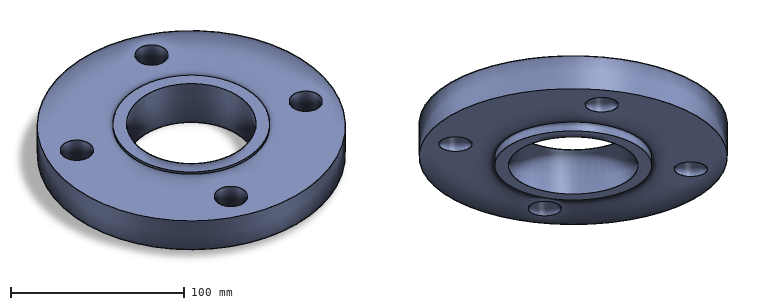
import cadquery as cq

flange_diameter = 177.8
flange_thickness = 21.2

hub_diameter = 90.5
hub_height = 28.5
raised_face_height = 1.6
bore_diameter = 74.7

bolt_hole_diameter = 19.0
bolt_circle_diameter = 139.8
bolt_count = 4
first_bolt_angle = 45.0

flange_top = hub_height - raised_face_height
flange_bottom = flange_top - flange_thickness

flange = (
    cq.Workplane("XY")
    .workplane(offset=flange_bottom)
    .circle(flange_diameter / 2)
    .extrude(flange_thickness)
)
hub = cq.Workplane("XY").circle(hub_diameter / 2).extrude(hub_height)
bore = cq.Workplane("XY").circle(bore_diameter / 2).extrude(hub_height)
bolt_holes = (
    cq.Workplane("XY")
    .polarArray(bolt_circle_diameter / 2, first_bolt_angle, 360, bolt_count)
    .circle(bolt_hole_diameter / 2)
    .extrude(hub_height)
)

result = flange.union(hub).cut(bore).cut(bolt_holes)